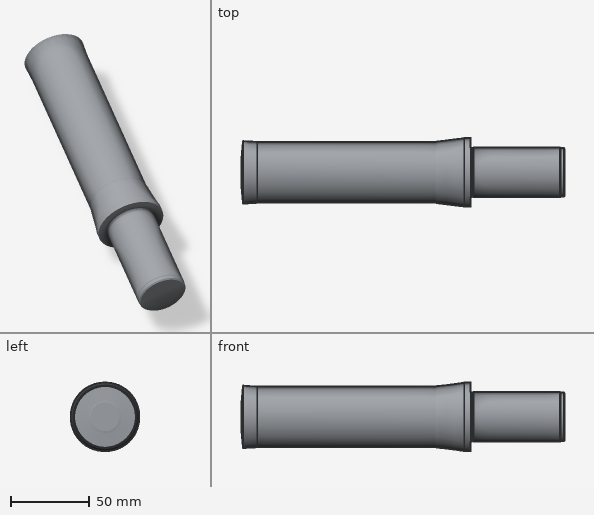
import cadquery as cq

overall_length = 207.0

head_length = 10.4
face_flat_diameter = 20.7
face_rise = 1.0
center_flat_diameter = 18.5
center_bevel_depth = 0.2
head_front_diameter = 40.2
head_edge_chamfer = 0.5
head_rear_diameter = 39.1

body_diameter = 39.0
body_start = 11.4
body_end = 124.2
cone_start = 125.5
cone_start_diameter = 39.5
collar_diameter = 44.0
collar_end = 146.8
collar_width = 4.1
collar_edge_width = 0.6
collar_edge_drop = 0.2

shank_diameter = 32.0
relief_diameter = 31.5
relief_width = 1.5
relief_taper = 0.6
tip_land_width = 3.3
tip_chamfer = 0.8


def revolve_about_x(profile):
    """Turn a list of (station, radius) points, closed along the axis, into a solid."""
    first_station = profile[0][0]
    last_station = profile[-1][0]
    outline = [(first_station, 0)] + profile + [(last_station, 0)]
    return cq.Workplane("XY").polyline(outline).close().revolve(360, (0, 0, 0), (1, 0, 0))


def make_cutting_head():
    front_radius = head_front_diameter / 2
    return revolve_about_x([
        (0, center_flat_diameter / 2),
        (center_bevel_depth, face_flat_diameter / 2),
        (face_rise, front_radius - head_edge_chamfer),
        (face_rise + head_edge_chamfer, front_radius),
        (head_length, head_rear_diameter / 2),
    ])


def make_holder():
    body_radius = body_diameter / 2
    collar_radius = collar_diameter / 2
    shank_radius = shank_diameter / 2
    relief_radius = relief_diameter / 2
    collar_start = collar_end - collar_width
    relief_end = collar_end + relief_width
    tip_land_start = overall_length - tip_land_width
    return revolve_about_x([
        (head_length, head_rear_diameter / 2),
        (body_start, body_radius),
        (body_end, body_radius),
        (cone_start, cone_start_diameter / 2),
        (collar_start - collar_edge_width, collar_radius - collar_edge_drop),
        (collar_start, collar_radius),
        (collar_end, collar_radius),
        (collar_end, shank_radius),
        (collar_end + relief_taper, relief_radius),
        (relief_end, relief_radius),
        (relief_end + relief_taper, shank_radius),
        (tip_land_start, shank_radius),
        (tip_land_start + relief_taper, relief_radius),
        (overall_length - tip_chamfer, relief_radius),
        (overall_length, relief_radius - tip_chamfer),
    ])


cutting_head = make_cutting_head()
holder = make_holder()

result = cq.Compound.makeCompound([cutting_head.val(), holder.val()])